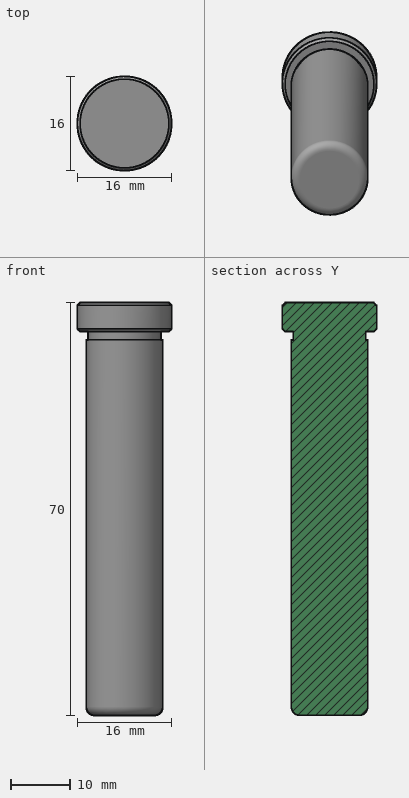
import cadquery as cq

total_length = 70.0
head_diameter = 16.0
head_height = 5.0
shank_diameter = 13.0

head_chamfer = 0.5
tip_radius = 1.5

groove_diameter = 12.4
groove_width = 1.4

head_bottom = total_length - head_height
groove_bottom = head_bottom - groove_width


def make_shank():
    """Cylinder with a rounded tip."""
    shank = cq.Workplane("XY").circle(shank_diameter / 2).extrude(groove_bottom)
    return shank.faces("<Z").edges().fillet(tip_radius)


def make_groove_core():
    """Reduced neck joining the shank to the head."""
    return (
        cq.Workplane("XY")
        .workplane(offset=groove_bottom)
        .circle(groove_diameter / 2)
        .extrude(groove_width)
    )


def make_head():
    """Flat head with both rims chamfered."""
    head = (
        cq.Workplane("XY")
        .workplane(offset=head_bottom)
        .circle(head_diameter / 2)
        .extrude(head_height)
    )
    return head.faces("<Z or >Z").edges().chamfer(head_chamfer)


result = make_shank().union(make_groove_core()).union(make_head())